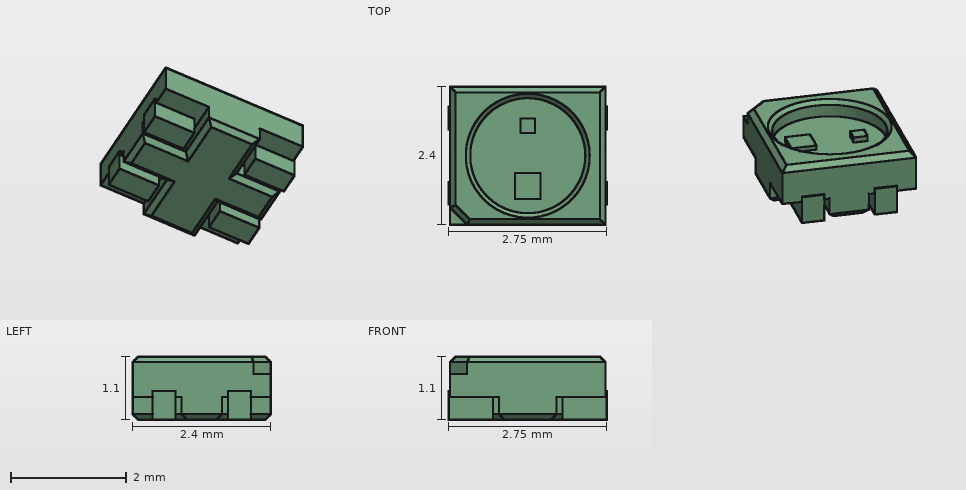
import cadquery as cq

overall_length = 2.75
body_length = 2.7
body_width = 2.4
height = 1.1
edge_chamfer = 0.1

body_bottom = 0.4
foot_width_x = 1.0
foot_width_y = 0.7

terminal_height = 0.5
terminal_width = 0.4
terminal_gap = 1.2
terminal_center_y = 0.652

mark_leg = 0.3
mark_depth = 0.3

floor_diameter = 2.0
rim_diameter = 2.153
rim_depth = 0.077
cavity_depth = 0.3

chip_offset_y = 0.522
small_chip_size = 0.25
small_chip_height = 0.1
large_chip_size = 0.45
large_chip_height = 0.08


def block(length, width, bottom, top, center=(0, 0)):
    """Rectangular block between two heights, centered on a plan position."""
    return (
        cq.Workplane("XY", origin=(center[0], center[1], bottom))
        .rect(length, width)
        .extrude(top - bottom)
    )


def make_body():
    """Body with a triangular corner mark and a chamfered top outline."""
    mark_bottom = height - mark_depth
    left = -body_length / 2
    front = -body_width / 2
    lower = block(body_length, body_width, body_bottom, mark_bottom)
    upper = (
        cq.Workplane("XY", origin=(0, 0, mark_bottom))
        .moveTo(left + mark_leg, front)
        .lineTo(-left, front)
        .lineTo(-left, -front)
        .lineTo(left, -front)
        .lineTo(left, front + mark_leg)
        .close()
        .extrude(mark_depth)
        .faces(">Z")
        .chamfer(edge_chamfer)
    )
    return lower.union(upper)


def make_foot():
    """Cross-shaped foot with its bottom outline chamfered."""
    along_x = block(body_length, foot_width_y, 0, body_bottom)
    along_y = block(foot_width_x, body_width, 0, body_bottom)
    return along_x.union(along_y).faces("<Z").chamfer(edge_chamfer)


def make_cavity():
    """Round pocket with a conical rim."""
    floor = height - cavity_depth
    rim_bottom = height - rim_depth
    return (
        cq.Workplane("XZ")
        .moveTo(0, floor)
        .lineTo(floor_diameter / 2, floor)
        .lineTo(floor_diameter / 2, rim_bottom)
        .lineTo(rim_diameter / 2, height)
        .lineTo(0, height)
        .close()
        .revolve(360, (0, 0), (0, 1))
    )


def make_chip(size, chip_height, center_y):
    """Square chip standing on the cavity floor."""
    floor = height - cavity_depth
    return block(size, size, floor, floor + chip_height, (0, center_y))


result = make_body().union(make_foot()).cut(make_cavity())

terminal_length = (overall_length - terminal_gap) / 2
terminal_center_x = (overall_length - terminal_length) / 2
for side_x in (-1, 1):
    for side_y in (-1, 1):
        center = (side_x * terminal_center_x, side_y * terminal_center_y)
        result = result.union(block(terminal_length, terminal_width, 0, terminal_height, center))

result = result.union(make_chip(small_chip_size, small_chip_height, chip_offset_y))
result = result.union(make_chip(large_chip_size, large_chip_height, -chip_offset_y))